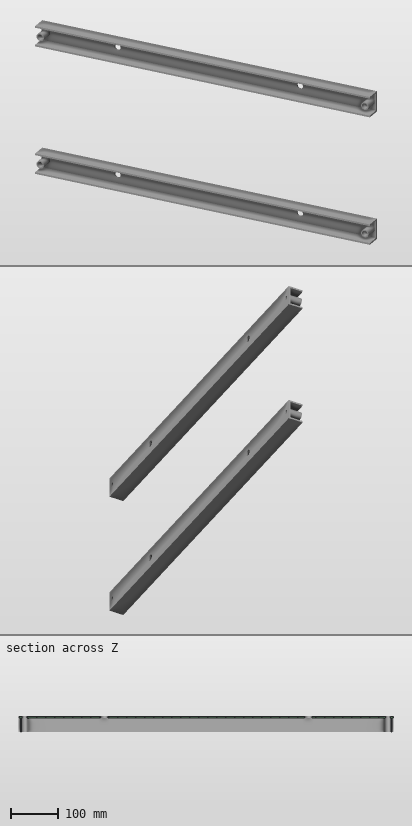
import cadquery as cq

length = 796.0
depth = 33.5
overall_height = 346.0
rail_height = 48.0
wall = 4.0

boss_diameter = 17.5
bore_diameter = 13.0
screw_hole_diameter = 9.0
boss_spacing = 772.0

mount_diameter = 14.0
mount_spacing = 434.0

cavity_depth = depth - wall
rail_spacing = overall_height - rail_height


def cylinders_along_y(diameter, spacing, reach=depth):
    """A pair of cylinders from the open face to a depth, evenly about the rail's middle."""
    return (
        cq.Workplane("XZ", origin=(0, reach, 0))
        .pushPoints([(-spacing / 2, 0), (spacing / 2, 0)])
        .circle(diameter / 2)
        .extrude(reach)
    )


def channel():
    """U-shaped channel with its web at the back and its open side facing -Y."""
    cavity_height = rail_height - 2 * wall
    outer = cq.Workplane("XY").box(length, depth, rail_height, centered=(True, False, True))
    cavity = cq.Workplane("XY").box(length, cavity_depth, cavity_height, centered=(True, False, True))
    return outer.cut(cavity)


def rail(center_z):
    """One channel with its bored bosses, screw holes and mounting holes, centred at a height."""
    body = channel().union(cylinders_along_y(boss_diameter, boss_spacing))
    body = body.cut(cylinders_along_y(bore_diameter, boss_spacing, cavity_depth))
    body = body.cut(cylinders_along_y(screw_hole_diameter, boss_spacing))
    body = body.cut(cylinders_along_y(mount_diameter, mount_spacing))
    return body.translate((0, 0, center_z))


rails = [rail(side * rail_spacing / 2) for side in (-1, 1)]

result = cq.Compound.makeCompound([body.val() for body in rails])